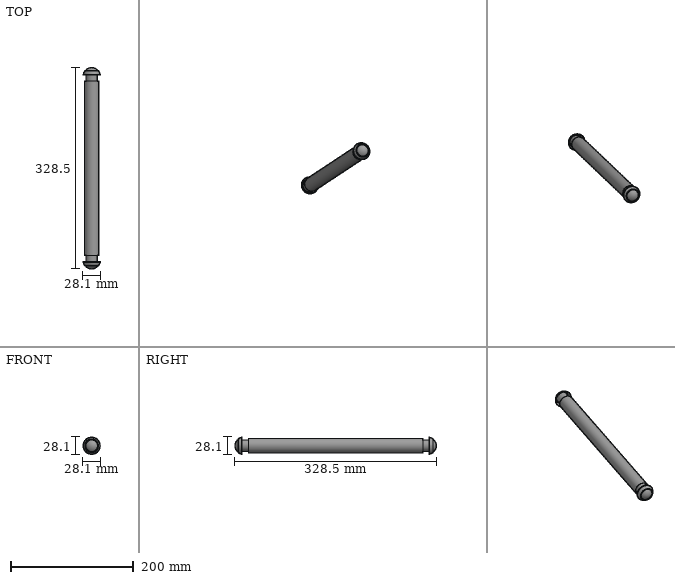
import cadquery as cq

total_length = 328.5
rim_diameter = 28.11

shaft_diameter = 19.05

sleeve_diameter = 23.81
sleeve_length = 284.0
sleeve_wall = 0.3

cap_height = 12.0
cap_wall = 0.5
rim_thickness = 0.9
rim_lip = 0.3
skirt_base_radius = 13.5
skirt_top_radius = 11.1
skirt_bulge = 0.7
crown_radius = 10.4
crown_height = 5.3
crown_sphere_radius = (crown_radius**2 + crown_height**2) / (2 * crown_height)

tip_y = total_length / 2
rim_y = tip_y - cap_height
skirt_base_y = rim_y + rim_thickness
ledge_y = tip_y - crown_height
ceiling_y = ledge_y - cap_wall


def skirt_middle(inset):
    """Point halfway up the bulged skirt, moved inward by inset."""
    radius = (skirt_base_radius + skirt_top_radius) / 2 + skirt_bulge - inset
    return (radius, (skirt_base_y + ledge_y) / 2)


def crown_middle():
    """Point on the spherical crown at half of its base radius."""
    radius = crown_radius / 2
    drop = crown_sphere_radius - (crown_sphere_radius**2 - radius**2) ** 0.5
    return (radius, tip_y - drop)


def make_half_pin():
    """Half of the shaft with the +Y cap, revolved about the Y axis as one profile."""
    shaft_radius = shaft_diameter / 2
    rim_radius = rim_diameter / 2
    profile = (
        cq.Workplane("XY")
        .lineTo(shaft_radius, 0)
        .lineTo(shaft_radius, ceiling_y)
        .lineTo(skirt_top_radius - cap_wall, ceiling_y)
        .threePointArc(skirt_middle(cap_wall), (rim_radius - rim_lip, rim_y))
        .lineTo(rim_radius, rim_y)
        .lineTo(rim_radius, skirt_base_y)
        .lineTo(skirt_base_radius, skirt_base_y)
        .threePointArc(skirt_middle(0), (skirt_top_radius, ledge_y))
        .lineTo(crown_radius, ledge_y)
        .threePointArc(crown_middle(), (0, tip_y))
        .close()
    )
    return profile.revolve(360, (0, 0, 0), (0, 1, 0))


def make_pin():
    """Shaft with a cap on both ends, symmetric about the XZ plane."""
    half_pin = make_half_pin()
    return half_pin.union(half_pin.mirror("XZ")).clean()


def make_sleeve():
    """Open thin-walled tube centred on the shaft."""
    outer_radius = sleeve_diameter / 2
    return (
        cq.Workplane("XZ")
        .circle(outer_radius)
        .circle(outer_radius - sleeve_wall)
        .extrude(sleeve_length)
        .translate((0, sleeve_length / 2, 0))
    )


pin = make_pin()
sleeve = make_sleeve()

result = cq.Compound.makeCompound([pin.val(), sleeve.val()])